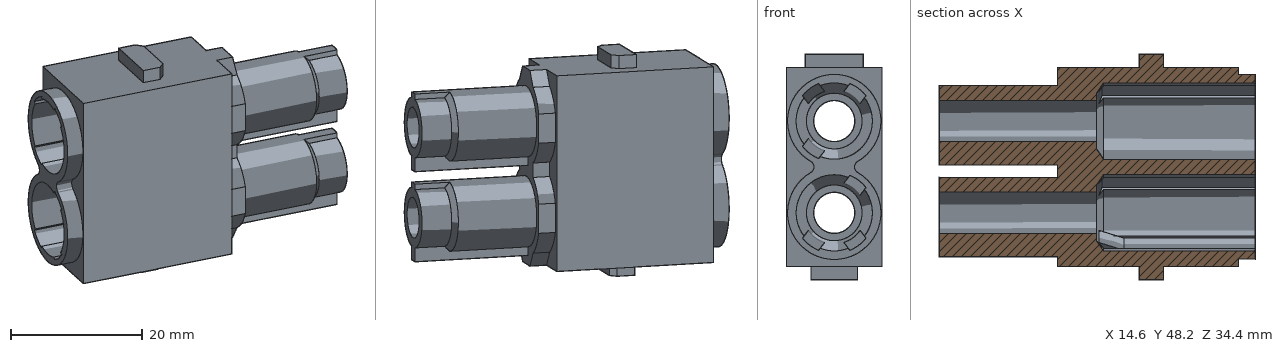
import cadquery as cq
import math


total_length = 48.2
collar_length = 2.55
block_end = 27.5
flange_end = 30.15

block_width = 14.6
block_height = 30.35
pole_spacing = 14.0
upper_pole = pole_spacing / 2
lower_pole = -pole_spacing / 2

collar_radius = 14.2 / 2
waist_half_width = 3.1

flange_radius = 6.85
flange_width = 12.9
neck_tip_half_width = 1.95
neck_base_half_width = 3.5

tube_radius = 5.45
tip_radius = 4.65
tip_length = 4.7
rib_width = 1.9
lower_rib_reach = 6.7

bore_radius = 11.6 / 2
seat_radius = 8.5 / 2
through_radius = 6.2 / 2
bore_depth = 23.15
bore_taper_length = 1.05

groove_radius = 12.4 / 2
groove_inner_radius = 9.5 / 2
groove_width = 3.1
groove_angle = 53.0
latch_ramp_length = 0.5
coding_ramp_length = 3.85
taper_share = (bore_radius - groove_inner_radius) / (bore_radius - seat_radius)
groove_end = bore_depth + bore_taper_length * taper_share

tab_height = 2.02
tab_front = 14.0
tab_back = 17.75
tab_chamfer = 0.95
top_tab_width = 8.85
bottom_tab_width = 7.15


def section(y_start):
    """Sketch plane across the module at the given Y, with X to the right and Z up."""
    return cq.Workplane("XZ", origin=(0, y_start, 0))


def revolved(profile, z):
    """Solid of revolution about the pole axis at height z, from (radius, y) points."""
    turned = cq.Workplane("XY").polyline(profile).close().revolve(360, (0, 0, 0), (0, 1, 0))
    return turned.translate((0, 0, z))


def make_block():
    length = block_end - collar_length
    return section(collar_length).rect(block_width, block_height).extrude(-length)


def make_collar():
    half = pole_spacing / 2
    waist_radius = (waist_half_width**2 + half**2 - collar_radius**2) / (
        2 * (collar_radius - waist_half_width)
    )
    centre_x = waist_half_width + waist_radius
    touch = collar_radius / (collar_radius + waist_radius)
    touch_x = centre_x * touch
    touch_z = half - half * touch
    ring_top = half + collar_radius
    outline = (
        section(0)
        .moveTo(touch_x, touch_z)
        .threePointArc((0, ring_top), (-touch_x, touch_z))
        .threePointArc((-waist_half_width, 0), (-touch_x, -touch_z))
        .threePointArc((0, -ring_top), (touch_x, -touch_z))
        .threePointArc((waist_half_width, 0), (touch_x, touch_z))
        .close()
    )
    return outline.extrude(-collar_length)


def make_flange():
    length = flange_end - block_end
    discs = section(block_end).pushPoints([(0, upper_pole), (0, lower_pole)])
    discs = discs.circle(flange_radius).extrude(-length)
    discs = discs.intersect(section(block_end).rect(flange_width, block_height).extrude(-length))
    neck_base = upper_pole + math.sqrt(flange_radius**2 - neck_base_half_width**2)
    neck_tip = block_height / 2
    necks = section(block_end).polyline([
        (neck_tip_half_width, neck_tip),
        (neck_base_half_width, neck_base),
        (neck_base_half_width, -neck_base),
        (neck_tip_half_width, -neck_tip),
        (-neck_tip_half_width, -neck_tip),
        (-neck_base_half_width, -neck_base),
        (-neck_base_half_width, neck_base),
        (-neck_tip_half_width, neck_tip),
    ]).close().extrude(-length)
    return discs.union(necks)


def make_tube(z):
    tip_start = total_length - tip_length
    shoulder_start = tip_start - (tube_radius - tip_radius)
    tube = revolved([
        (0, block_end),
        (tube_radius, block_end),
        (tube_radius, shoulder_start),
        (tip_radius, tip_start),
        (tip_radius, total_length),
        (0, total_length),
    ], z)
    length = total_length - block_end
    upper_rib = section(block_end).center(0, z + tube_radius / 2).rect(rib_width, tube_radius)
    tube_round = section(block_end).center(0, z).circle(tube_radius).extrude(-length)
    upper_rib = upper_rib.extrude(-length).intersect(tube_round)
    lower_rib = section(block_end).center(0, z - lower_rib_reach / 2).rect(rib_width, lower_rib_reach)
    return tube.union(upper_rib).union(lower_rib.extrude(-length))


def make_tab(width, direction):
    """Tab with chamfered rear corners; direction is 1 for the top face, -1 for the bottom face."""
    length = tab_back - tab_front
    tab = cq.Workplane("XY").box(width, length, tab_height, centered=(True, False, True))
    tab = tab.faces(">Y").edges("|Z").chamfer(tab_chamfer)
    return tab.translate((0, tab_front, direction * (block_height + tab_height) / 2))


def make_bore(z):
    seat_depth = bore_depth + bore_taper_length
    return revolved([
        (0, 0),
        (bore_radius, 0),
        (bore_radius, bore_depth),
        (seat_radius, seat_depth),
        (through_radius, seat_depth),
        (through_radius, total_length),
        (0, total_length),
    ], z)


def on_bore_wall(profile, angle, z):
    """Turned profile trimmed to a groove-wide strip, lying at an angle from +X around the bore."""
    strip = cq.Workplane("XY").box(
        2 * groove_radius, total_length, groove_width, centered=(False, False, True)
    )
    piece = revolved(profile, 0).intersect(strip)
    return piece.rotate((0, 0, 0), (0, 1, 0), -angle).translate((0, 0, z))


def cut_groove(part, angle, ramp_length, z):
    """Groove along the bore wall from the mouth, ending in a conical ramp down to the bore taper."""
    groove = on_bore_wall([
        (groove_inner_radius, 0),
        (groove_radius, 0),
        (groove_radius, groove_end),
        (groove_inner_radius, groove_end),
    ], angle, z)
    ramp = on_bore_wall([
        (groove_radius, groove_end - ramp_length),
        (groove_radius, groove_end),
        (groove_inner_radius, groove_end),
    ], angle, z)
    return part.cut(groove).union(ramp)


body = make_block().union(make_collar()).union(make_flange())
for pole in (upper_pole, lower_pole):
    body = body.union(make_tube(pole))
body = body.union(make_tab(top_tab_width, 1)).union(make_tab(bottom_tab_width, -1))

for pole, coding_angle in ((upper_pole, 180 - groove_angle), (lower_pole, -groove_angle)):
    body = body.cut(make_bore(pole))
    for latch_angle in (groove_angle, groove_angle + 180):
        body = cut_groove(body, latch_angle, latch_ramp_length, pole)
    body = cut_groove(body, coding_angle, coding_ramp_length, pole)

result = body